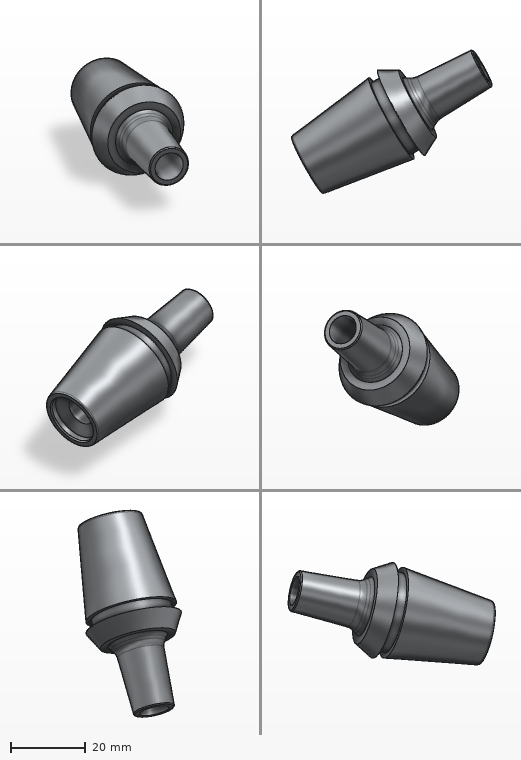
import cadquery as cq
import math

length = 54.0

taper_end_x = 25.9
taper_large_radius = 12.5
taper_angle = math.radians(8)
mouth_chamfer_length = 0.5
mouth_chamfer_depth = 0.2

groove_end_x = 29.0
groove_radius = 11.0
collar_end_x = 34.0
collar_large_radius = 13.1
collar_small_radius = 10.35

blend_start_radius = 8.15
blend_cone_start_x = 35.0
blend_cone_end_x = 35.8
blend_cone_small_radius = 6.95
blend_cone_angle = math.radians(30)
blend_end_x = 37.6
shank_large_radius = 6.4
shank_small_radius = 5.6
end_chamfer = 0.3

bore_radius = 4.0
counterbore_radius = 7.15
counterbore_chamfer_depth = 0.25
counterbore_chamfer_length = 0.5
counterbore_end_x = 2.0
floor_half_angle = math.radians(60)

taper_small_radius = taper_large_radius - (taper_end_x - mouth_chamfer_length) * math.tan(taper_angle)
blend_cone_length = blend_cone_end_x - blend_cone_start_x
blend_cone_large_radius = blend_cone_small_radius + blend_cone_length * math.tan(blend_cone_angle)
shank_taper_end_x = length - end_chamfer


def make_body():
    """Revolve the outer outline, drawn as (x, radius) points."""
    outline = (
        cq.Workplane("XY")
        .lineTo(length, 0)
        .lineTo(length, shank_small_radius - end_chamfer)
        .lineTo(shank_taper_end_x, shank_small_radius)
        .lineTo(blend_end_x, shank_large_radius)
        .tangentArcPoint((blend_cone_end_x, blend_cone_small_radius), relative=False)
        .lineTo(blend_cone_start_x, blend_cone_large_radius)
        .tangentArcPoint((collar_end_x, blend_start_radius), relative=False)
        .lineTo(collar_end_x, collar_small_radius)
        .lineTo(groove_end_x, collar_large_radius)
        .lineTo(groove_end_x, groove_radius)
        .lineTo(taper_end_x, groove_radius)
        .lineTo(taper_end_x, taper_large_radius)
        .lineTo(mouth_chamfer_length, taper_small_radius)
        .lineTo(0, taper_small_radius - mouth_chamfer_depth)
        .close()
    )
    return outline.revolve(360, (0, 0, 0), (1, 0, 0))


def make_bore():
    """Revolve the bore outline, stepped and conical at the mouth."""
    floor_length = (counterbore_radius - bore_radius) / math.tan(floor_half_angle)
    outline = (
        cq.Workplane("XY")
        .lineTo(0, counterbore_radius + counterbore_chamfer_depth)
        .lineTo(counterbore_chamfer_length, counterbore_radius)
        .lineTo(counterbore_end_x, counterbore_radius)
        .lineTo(counterbore_end_x + floor_length, bore_radius)
        .lineTo(length, bore_radius)
        .lineTo(length, 0)
        .close()
    )
    return outline.revolve(360, (0, 0, 0), (1, 0, 0))


result = make_body().cut(make_bore())